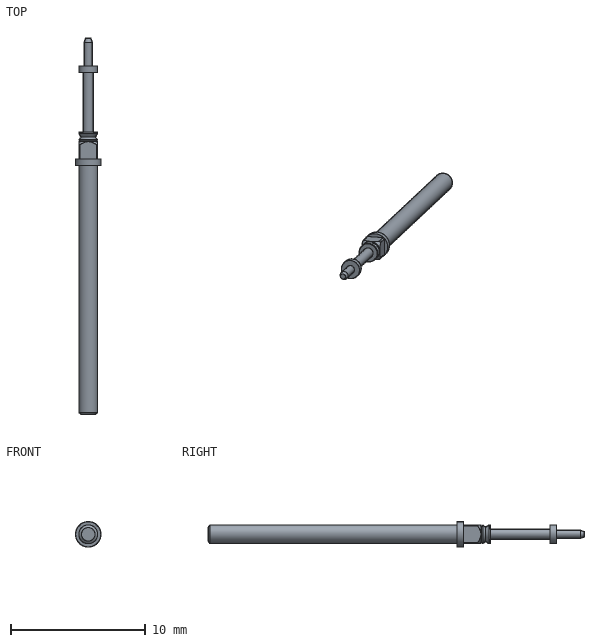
import cadquery as cq

total_length = 28.0

tip_radius = 0.3
tip_flat_radius = 0.2
tip_chamfer_length = 0.3

head_radius = 0.7
head_start = 2.07
head_length = 0.5

plunger_radius = 0.378

grip_start = 7.0
grip_radius = 0.7
rim_length = 0.1
neck_radius = 0.53
neck_position = 7.35
ridge_position = 7.55
notch_radius = 0.6
notch_position = 7.65

square_start = 7.7
square_width = 1.4
square_corner_radius = 0.92
square_chamfer = 0.22

flange_start = 9.0
flange_length = 0.5
flange_radius = 0.95

barrel_radius = 0.7
barrel_flat_radius = 0.5
barrel_chamfer_length = 0.15


def y_at(station):
    """Y coordinate of a station, with the pin centred on the origin."""
    return total_length / 2 - station


def revolve_profile(profile):
    """Revolve (radius, station) points about the Y axis."""
    stations = [station for _, station in profile]
    outline = [(0, stations[0])] + profile + [(0, stations[-1])]
    points = [(radius, y_at(station)) for radius, station in outline]
    return cq.Workplane("XY").polyline(points).close().revolve(360, (0, 0), (0, 1))


def make_plunger():
    head_end = head_start + head_length
    return revolve_profile([
        (tip_flat_radius, 0),
        (tip_radius, tip_chamfer_length),
        (tip_radius, head_start),
        (head_radius, head_start),
        (head_radius, head_end),
        (plunger_radius, head_end),
        (plunger_radius, grip_start),
    ])


def make_grooved_collar():
    return revolve_profile([
        (grip_radius, grip_start),
        (grip_radius, grip_start + rim_length),
        (neck_radius, neck_position),
        (grip_radius, ridge_position),
        (notch_radius, notch_position),
        (notch_radius, square_start),
    ])


def make_square_section():
    """Square bar whose corners are turned to a cylinder and chamfered at the front."""
    length = flange_start - square_start
    bar = cq.Workplane("XY").box(square_width, length, square_width)
    bar = bar.translate((0, y_at(square_start + length / 2), 0))
    turned_envelope = revolve_profile([
        (square_corner_radius - square_chamfer, square_start),
        (square_corner_radius, square_start + square_chamfer),
        (square_corner_radius, flange_start),
    ])
    return bar.intersect(turned_envelope)


def make_barrel():
    flange_end = flange_start + flange_length
    return revolve_profile([
        (flange_radius, flange_start),
        (flange_radius, flange_end),
        (barrel_radius, flange_end),
        (barrel_radius, total_length - barrel_chamfer_length),
        (barrel_flat_radius, total_length),
    ])


result = (
    make_plunger()
    .union(make_grooved_collar())
    .union(make_square_section())
    .union(make_barrel())
)